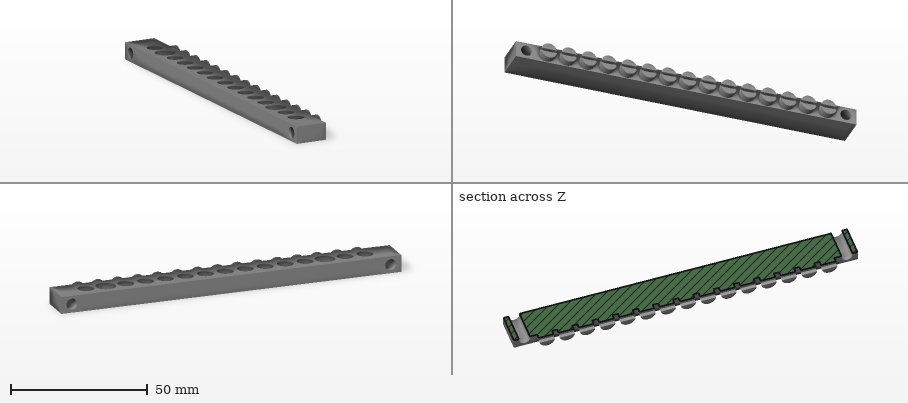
import cadquery as cq

BAR_LENGTH = 133.0
BAR_DEPTH = 12.0
BAR_HEIGHT = 6.5

MOUNT_HOLE_DIAMETER = 4.3
MOUNT_HOLE_INSET = 4.1

TERMINAL_COUNT = 15
TERMINAL_ROW_LENGTH = 109.2
TERMINAL_PITCH = TERMINAL_ROW_LENGTH / (TERMINAL_COUNT - 1)
LARGE_TERMINALS = (1, TERMINAL_COUNT - 3)

RECESS_DIAMETER = 6.1
LARGE_RECESS_DIAMETER = 7.6
RECESS_DEPTH = 0.5

SCREW_DIAMETER = 6.0
SCREW_PROTRUSION = 3.0
SLOT_WIDTH = 1.2
SLOT_DEPTH = 1.3

MID_X = BAR_LENGTH / 2
MID_Y = BAR_DEPTH / 2
MID_Z = BAR_HEIGHT / 2
SCREW_TIP_Y = BAR_DEPTH + SCREW_PROTRUSION


def terminal_x(index):
    """X position of a terminal, counted from the left end."""
    return MID_X + (index - (TERMINAL_COUNT - 1) / 2) * TERMINAL_PITCH


def cylinder_along_y(x, start_y, length, diameter):
    """Cylinder at mid height, growing toward +Y."""
    start = cq.Vector(x, start_y, MID_Z)
    return cq.Workplane(cq.Solid.makeCylinder(diameter / 2, length, start, cq.Vector(0, 1, 0)))


def recess(index):
    diameter = LARGE_RECESS_DIAMETER if index in LARGE_TERMINALS else RECESS_DIAMETER
    return (
        cq.Workplane("XY", origin=(terminal_x(index), MID_Y, BAR_HEIGHT - RECESS_DEPTH))
        .circle(diameter / 2)
        .extrude(RECESS_DEPTH)
    )


def screw_head(index):
    x = terminal_x(index)
    head = cylinder_along_y(x, BAR_DEPTH, SCREW_PROTRUSION, SCREW_DIAMETER)
    slot_centre = (x, SCREW_TIP_Y - SLOT_DEPTH / 2, MID_Z)
    slot = cq.Workplane("XY", origin=slot_centre).box(SCREW_DIAMETER, SLOT_DEPTH, SLOT_WIDTH)
    return head.cut(slot)


result = cq.Workplane("XY").box(BAR_LENGTH, BAR_DEPTH, BAR_HEIGHT, centered=False)

for hole_x in (MOUNT_HOLE_INSET, BAR_LENGTH - MOUNT_HOLE_INSET):
    result = result.cut(cylinder_along_y(hole_x, 0, BAR_DEPTH, MOUNT_HOLE_DIAMETER))

for terminal in range(TERMINAL_COUNT):
    result = result.cut(recess(terminal)).union(screw_head(terminal))